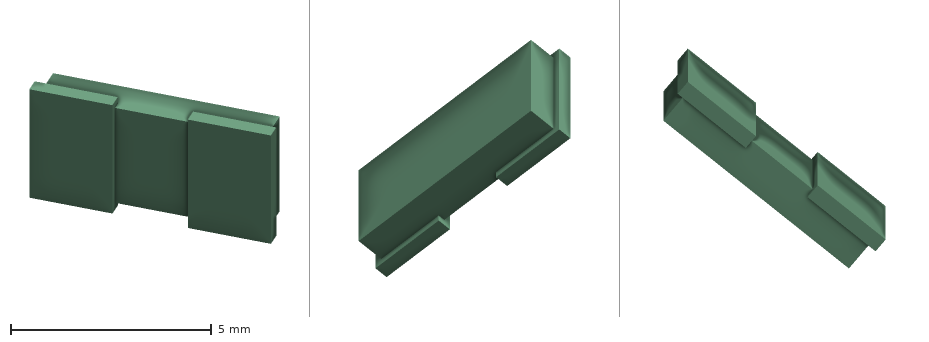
import cadquery as cq

length = 6.4
depth = 1.2
height = 3.2

terminal_width = 2.2
terminal_overhang = 0.2
terminal_thickness = 2 * terminal_overhang

body_length = length - 2 * terminal_overhang
body_depth = depth - terminal_overhang
body_height = height - 2 * terminal_overhang


def make_body():
    """Plain block whose front face lies inside the terminal thickness."""
    return (
        cq.Workplane("XY")
        .box(body_length, body_depth, body_height, centered=(True, False, True))
        .translate((0, terminal_overhang, 0))
    )


def make_terminal(side):
    """Flat plate at the -X end (side = -1) or the +X end (side = 1)."""
    center_x = side * (length - terminal_width) / 2
    return (
        cq.Workplane("XY")
        .box(terminal_width, terminal_thickness, height, centered=(True, False, True))
        .translate((center_x, 0, 0))
    )


result = make_body()
for side in (-1, 1):
    result = result.union(make_terminal(side))